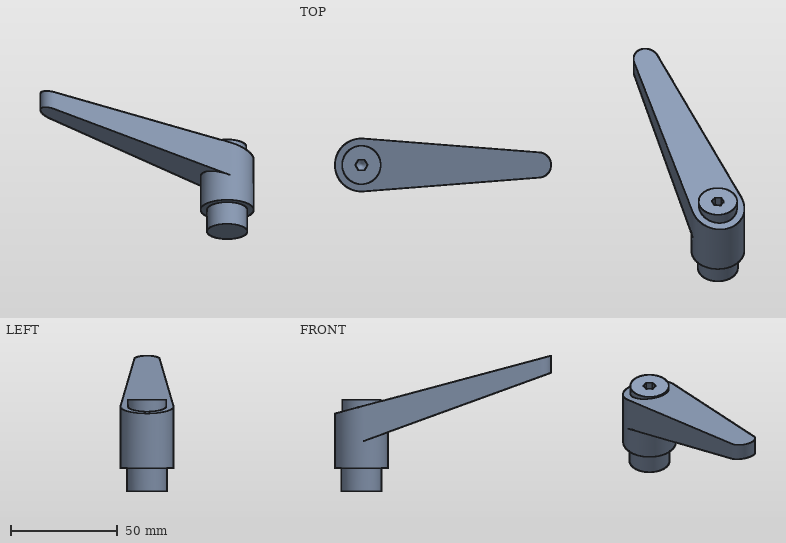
import cadquery as cq
import math

hub_radius = 12.5
collar_diameter = 19.0
collar_height = 11.0
head_radius = 9.0
head_top = 43.0
tip_radius = 6.0
total_length = 101.5
total_height = 63.7
top_slope = math.tan(math.radians(15))
underside_slope = math.tan(math.radians(20))
underside_height = 23.2
socket_flats = 5.0
socket_depth = 5.0
drill_point_angle = 120.0

tip_end = total_length - hub_radius
tip_center = tip_end - tip_radius


def top_height(x):
    """Height of the sloping top face at x."""
    return total_height - top_slope * (tip_end - x)


def underside(x):
    """Height of the lever underside at x."""
    return underside_height + underside_slope * x


def make_lever():
    """Tapered arm: tangent plan outline cut to the wedge-shaped side profile."""
    cosine = (hub_radius - tip_radius) / tip_center
    sine = math.sqrt(1 - cosine**2)
    hub_x, hub_y = hub_radius * cosine, hub_radius * sine
    tip_x, tip_y = tip_center + tip_radius * cosine, tip_radius * sine
    plan = (
        cq.Workplane("XY")
        .moveTo(hub_x, -hub_y)
        .lineTo(tip_x, -tip_y)
        .threePointArc((tip_end, 0), (tip_x, tip_y))
        .lineTo(hub_x, hub_y)
        .close()
        .extrude(total_height)
    )
    side = (
        cq.Workplane("XZ")
        .moveTo(hub_x, underside(hub_x))
        .lineTo(tip_end, underside(tip_end))
        .lineTo(tip_end, total_height)
        .lineTo(hub_x, top_height(hub_x))
        .close()
        .extrude(hub_radius, both=True)
    )
    return plan.intersect(side)


def make_hub():
    """Round hub whose top follows the slope of the lever."""
    side = (
        cq.Workplane("XZ")
        .moveTo(-hub_radius, collar_height)
        .lineTo(hub_radius, collar_height)
        .lineTo(hub_radius, top_height(hub_radius))
        .lineTo(-hub_radius, top_height(-hub_radius))
        .close()
        .extrude(hub_radius, both=True)
    )
    return cq.Workplane("XY").circle(hub_radius).extrude(total_height).intersect(side)


def make_socket():
    """Hexagon socket whose bottom is a cone reaching out to the hexagon corners."""
    corner_radius = socket_flats / 2 / math.cos(math.radians(30))
    cone_depth = corner_radius / math.tan(math.radians(drill_point_angle / 2))
    hexagon = (
        cq.Workplane("XY").workplane(offset=head_top)
        .polygon(6, 2 * corner_radius).extrude(-(socket_depth + cone_depth))
    )
    drilled_hole = (
        cq.Workplane("XZ")
        .moveTo(0, head_top)
        .lineTo(corner_radius, head_top)
        .lineTo(corner_radius, head_top - socket_depth)
        .lineTo(0, head_top - socket_depth - cone_depth)
        .close()
        .revolve(360, (0, 0), (0, 1))
    )
    return hexagon.intersect(drilled_hole)


collar = cq.Workplane("XY").circle(collar_diameter / 2).extrude(collar_height)
head = (
    cq.Workplane("XY").workplane(offset=collar_height)
    .circle(head_radius).extrude(head_top - collar_height)
)
result = (
    make_hub().union(make_lever()).union(collar).union(head)
    .cut(make_socket())
)